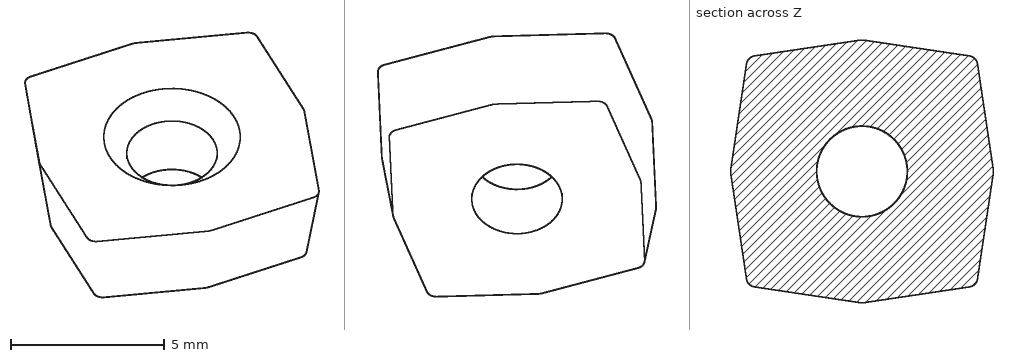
import cadquery as cq
import math

WIDTH = 8.95
THICKNESS = 3.0
SIDE_ANGLE = 8.5
RELIEF_ANGLE = 7.0
CORNER_RADIUS = 0.33
RIDGE_RADIUS = 0.6
HOLE_DIAMETER = 2.95
SEAT_DIAMETER = 4.45
SEAT_ANGLE = 45

SIDES = 4
SIDE_STEP = 360 / SIDES
EDGE_SEARCH_SIZE = 1.8
CUT_CLEARANCE = 1.0

side_angle = math.radians(SIDE_ANGLE)
sharp_ridge = WIDTH / 2 + RIDGE_RADIUS * (1 / math.cos(side_angle) - 1)
sharp_corner = sharp_ridge / (1 + math.tan(side_angle))


def polar_point(radius, angle_degrees):
    """Point in the XY plane at a radius and an angle from +X."""
    angle = math.radians(angle_degrees)
    return (radius * math.cos(angle), radius * math.sin(angle))


def edge_selector(radius, start_angle):
    """Combined box selector for the upright edges that start at one radius, one per side."""
    half_box = EDGE_SEARCH_SIZE / 2
    mid_height = -THICKNESS / 2
    selector = None
    for side in range(SIDES):
        x, y = polar_point(radius, start_angle + side * SIDE_STEP)
        box = cq.selectors.BoxSelector(
            (x - half_box, y - half_box, mid_height - half_box),
            (x + half_box, y + half_box, mid_height + half_box),
        )
        selector = box if selector is None else selector + box
    return selector


def make_body():
    """Eight-sided relieved block, top face at Z = 0, with rounded upright edges."""
    corner_reach = sharp_corner * math.sqrt(2)
    outline = []
    for side in range(SIDES):
        outline.append(polar_point(sharp_ridge, side * SIDE_STEP))
        outline.append(polar_point(corner_reach, (side + 0.5) * SIDE_STEP))
    body = cq.Workplane("XY").polyline(outline).close().extrude(-THICKNESS, taper=RELIEF_ANGLE)
    body = body.edges(edge_selector(corner_reach, SIDE_STEP / 2)).fillet(CORNER_RADIUS)
    return body.edges(edge_selector(sharp_ridge, 0)).fillet(RIDGE_RADIUS)


def make_screw_hole():
    """Through hole with a conical screw seat at the top face."""
    hole_radius = HOLE_DIAMETER / 2
    seat_radius = SEAT_DIAMETER / 2
    seat_depth = (seat_radius - hole_radius) / math.tan(math.radians(SEAT_ANGLE))
    bottom = -THICKNESS - CUT_CLEARANCE
    profile = [
        (0, bottom),
        (hole_radius, bottom),
        (hole_radius, -seat_depth),
        (seat_radius, 0),
        (seat_radius, CUT_CLEARANCE),
        (0, CUT_CLEARANCE),
    ]
    return cq.Workplane("XZ").polyline(profile).close().revolve(360, (0, 0), (0, 1))


result = make_body().cut(make_screw_hole())